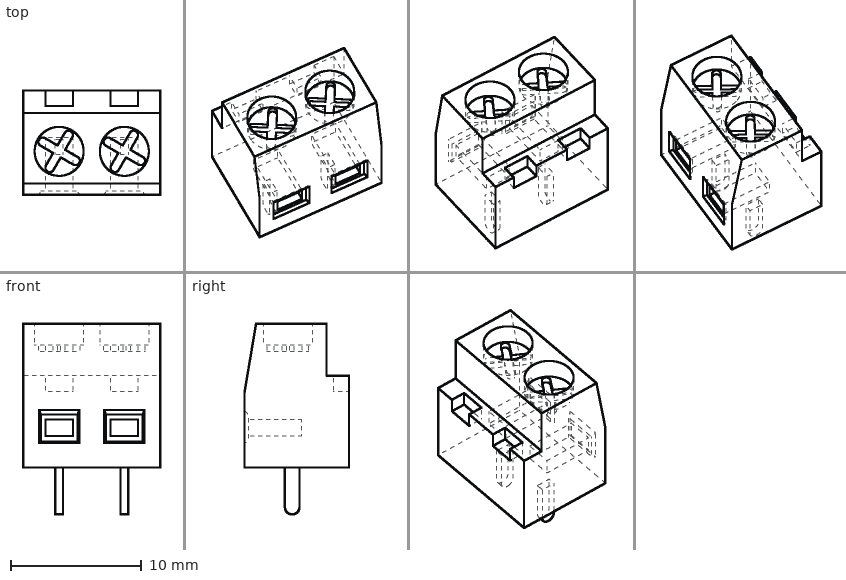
import cadquery as cq


width = 10.5
depth = 8.0
total_height = 14.6
pin_length = 3.59
body_height = total_height - pin_length
shelf_height = 7.04
shelf_depth = 1.72
slope_start_height = 5.8
slope_setback = 0.88

pitch = 5.0
terminal_positions = (-pitch / 2, pitch / 2)

mouth_width = 3.1
mouth_bottom = 1.87
mouth_top = 4.4
mouth_floor_width = 2.8
mouth_floor_bottom = 2.0
mouth_floor_top = 4.05
mouth_depth = 0.29
wire_hole_width = 2.1
wire_hole_bottom = 2.41
wire_hole_height = 1.28
wire_hole_depth = 4.38

notch_width = wire_hole_width
notch_length = 1.2
notch_depth = 1.2

screw_y = 3.33
well_diameter = 3.75
well_depth = 1.64
cross_length = 3.56
cross_slot_width = 0.67
cross_depth = 0.5
cross_angle = 60

pin_y = 3.65
pin_thickness = 0.61
pin_width = 1.14


def make_housing():
    profile = [
        (0, 0),
        (depth, 0),
        (depth, shelf_height),
        (depth - shelf_depth, shelf_height),
        (depth - shelf_depth, body_height),
        (slope_setback, body_height),
        (0, slope_start_height),
    ]
    return cq.Workplane("YZ").polyline(profile).close().extrude(width / 2, both=True)


def make_wire_entry(x):
    mouth_middle = (mouth_bottom + mouth_top) / 2
    floor_middle = (mouth_floor_bottom + mouth_floor_top) / 2
    mouth = (
        cq.Workplane("XZ")
        .center(x, mouth_middle)
        .rect(mouth_width, mouth_top - mouth_bottom)
        .workplane(offset=-mouth_depth)
        .center(0, floor_middle - mouth_middle)
        .rect(mouth_floor_width, mouth_floor_top - mouth_floor_bottom)
        .loft(ruled=True)
    )
    wire_hole = (
        cq.Workplane("XY", origin=(x, 0, wire_hole_bottom))
        .box(wire_hole_width, wire_hole_depth, wire_hole_height, centered=(True, False, False))
    )
    return mouth.union(wire_hole)


def make_notch(x):
    return (
        cq.Workplane("XY", origin=(x, depth - notch_length, shelf_height - notch_depth))
        .box(notch_width, notch_length, notch_depth, centered=(True, False, False))
    )


def make_screw_recess(x):
    screw_head = cq.Workplane("XY", origin=(x, screw_y, body_height - well_depth))
    recess = screw_head.circle(well_diameter / 2).extrude(well_depth)
    for angle in (cross_angle, cross_angle + 90):
        slot = screw_head.slot2D(cross_length, cross_slot_width, angle).extrude(-cross_depth)
        recess = recess.union(slot)
    return recess


def make_pin(x):
    tip_radius = pin_width / 2
    return (
        cq.Workplane("YZ", origin=(x, pin_y, 0))
        .moveTo(-tip_radius, 0)
        .lineTo(-tip_radius, tip_radius - pin_length)
        .threePointArc((0, -pin_length), (tip_radius, tip_radius - pin_length))
        .lineTo(tip_radius, 0)
        .close()
        .extrude(pin_thickness / 2, both=True)
    )


result = make_housing()
for terminal_x in terminal_positions:
    result = result.cut(make_wire_entry(terminal_x))
    result = result.cut(make_notch(terminal_x))
    result = result.cut(make_screw_recess(terminal_x))
    result = result.union(make_pin(terminal_x))